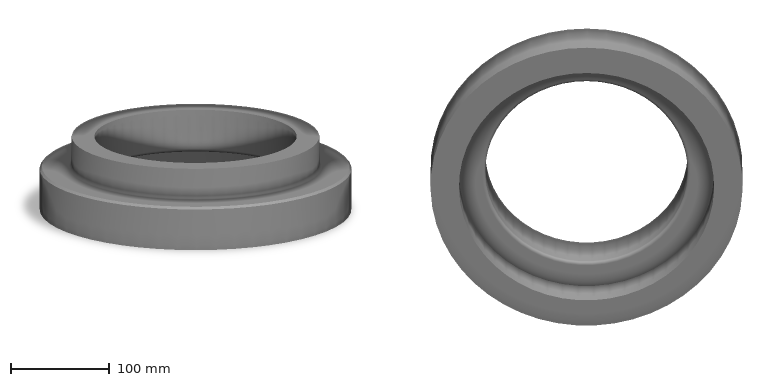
import cadquery as cq

flange_diameter = 315.0
hub_diameter = 250.0
bore_diameter = 204.5
recess_diameter = 257.5
total_height = 76.2
flange_height = 44.7
recess_depth = 31.8
rim_chamfer = 2.2
root_fillet = 3.0
bore_mouth_fillet = 3.0


def disc(diameter, height):
    """Cylinder standing on the underside plane, centred on Z."""
    return cq.Workplane("XY").circle(diameter / 2).extrude(height)


def fillet_inner_circle(solid, level, radius):
    """Fillet the smallest circular edge lying at height `level`."""
    reach = flange_diameter
    tolerance = 0.03
    at_level = cq.selectors.BoxSelector((-reach, -reach, level - tolerance), (reach, reach, level + tolerance))
    return solid.edges(at_level).edges(cq.selectors.RadiusNthSelector(0)).fillet(radius)


flange = disc(flange_diameter, flange_height).faces(">Z").edges().chamfer(rim_chamfer)

body = flange.union(disc(hub_diameter, total_height))
body = fillet_inner_circle(body, flange_height, root_fillet)

bore = disc(bore_diameter, total_height)
recess = disc(recess_diameter, recess_depth)

body = body.cut(bore).cut(recess)

result = fillet_inner_circle(body, recess_depth, bore_mouth_fillet)